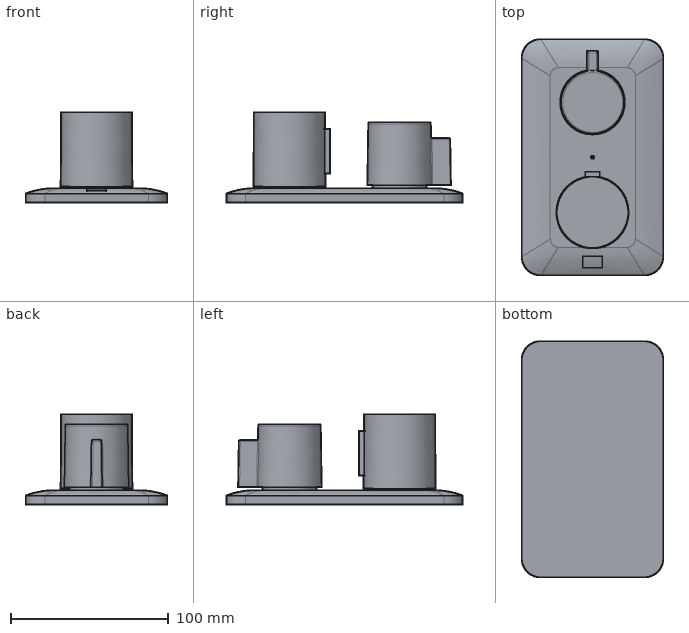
import cadquery as cq
import math

PLATE_WIDTH = 90.0
PLATE_LENGTH = 150.0
PLATE_CORNER_RADIUS = 12.0
RIM_HEIGHT = 5.7
PLATE_HEIGHT = 9.1
BORDER_WIDTH = 18.0
PANEL_CORNER_RADIUS = 5.2
DOME_SECTIONS = 7

DOT_RADIUS = 1.0
DOT_FLOOR_RADIUS = 0.6
DOT_DEPTH = 0.1

BADGE_WIDTH = 12.1
BADGE_LENGTH = 7.2
BADGE_CENTER_Y = -66.5
BADGE_FLOOR_Z = 4.5

KNOB_OFFSET = 35.0
NECK_RADIUS = 17.2

TALL_KNOB_BOTTOM_Z = 10.0
TALL_KNOB_TOP_Z = 57.5
TALL_KNOB_BOTTOM_RADIUS = 23.0
TALL_KNOB_TOP_RADIUS = 22.6

SHORT_KNOB_BOTTOM_Z = 11.1
SHORT_KNOB_TOP_Z = 51.0
SHORT_KNOB_BOTTOM_RADIUS = 20.5
SHORT_KNOB_TOP_RADIUS = 20.0
SHORT_KNOB_EDGE_FILLET = 0.9

LEVER_WIDTH = 7.2
LEVER_TIP_Y = 67.6
LEVER_TOP_Z = 41.0
LEVER_TAPER_ANGLE = 0.9
LEVER_EDGE_FILLET = 0.9
LEVER_ROOT_FILLET = 0.7
ROOT_ZONE_MARGIN = 1.5

BUTTON_WIDTH = 9.1
BUTTON_OUTER_Y = -9.1
BUTTON_DEPTH = 9.0
BUTTON_BOTTOM_Z = 18.3
BUTTON_TOP_Z = 46.8


def rounded_rectangle(width, length, corner_radius, z):
    """Closed wire of a rounded rectangle centred on the Z axis."""
    rectangle = cq.Workplane().rect(width, length).val()
    return rectangle.fillet2D(corner_radius, rectangle.Vertices()).translate(cq.Vector(0, 0, z))


def make_dome():
    """Border whose section is an arc that meets the flat panel tangentially."""
    rise = PLATE_HEIGHT - RIM_HEIGHT
    arc_radius = (BORDER_WIDTH**2 + rise**2) / (2 * rise)
    arc_angle = math.asin(BORDER_WIDTH / arc_radius)
    sections = []
    for step in range(DOME_SECTIONS):
        angle = arc_angle * (1 - step / (DOME_SECTIONS - 1))
        inset = BORDER_WIDTH - arc_radius * math.sin(angle)
        z = PLATE_HEIGHT - arc_radius * (1 - math.cos(angle))
        corner_change = (PANEL_CORNER_RADIUS - PLATE_CORNER_RADIUS) * inset / BORDER_WIDTH
        sections.append(
            rounded_rectangle(
                PLATE_WIDTH - 2 * inset,
                PLATE_LENGTH - 2 * inset,
                PLATE_CORNER_RADIUS + corner_change,
                z,
            )
        )
    return cq.Workplane(cq.Solid.makeLoft(sections))


def make_plate_blank():
    rim = (
        cq.Workplane()
        .rect(PLATE_WIDTH, PLATE_LENGTH)
        .extrude(RIM_HEIGHT)
        .edges("|Z")
        .fillet(PLATE_CORNER_RADIUS)
    )
    return rim.union(make_dome())


def make_badge(plate_blank):
    """Inlay whose upper face follows the dome."""
    block = (
        cq.Workplane()
        .workplane(offset=BADGE_FLOOR_Z)
        .center(0, BADGE_CENTER_Y)
        .rect(BADGE_WIDTH, BADGE_LENGTH)
        .extrude(PLATE_HEIGHT - BADGE_FLOOR_Z)
    )
    return plate_blank.intersect(block)


def make_plate(plate_blank, badge):
    dot_floor = cq.Vector(0, 0, PLATE_HEIGHT - DOT_DEPTH)
    dot = cq.Solid.makeCone(DOT_FLOOR_RADIUS, DOT_RADIUS, DOT_DEPTH, dot_floor)
    return plate_blank.cut(badge).cut(cq.Workplane(dot))


def make_knob(center_y, bottom_z, top_z, bottom_radius, top_radius):
    """Tapered knob and its neck, turned about a vertical axis at center_y."""
    return (
        cq.Workplane("YZ")
        .moveTo(0, PLATE_HEIGHT)
        .lineTo(-NECK_RADIUS, PLATE_HEIGHT)
        .lineTo(-NECK_RADIUS, bottom_z)
        .lineTo(-bottom_radius, bottom_z)
        .lineTo(-top_radius, top_z)
        .lineTo(0, top_z)
        .close()
        .revolve(360, (0, 0), (0, 1))
        .translate((0, center_y, 0))
    )


def make_lever():
    """Tapered fin from the axis of the short knob out to the lever tip."""
    reach = LEVER_TIP_Y - KNOB_OFFSET
    return (
        cq.Workplane()
        .workplane(offset=SHORT_KNOB_BOTTOM_Z)
        .center(0, KNOB_OFFSET + reach / 2)
        .rect(LEVER_WIDTH, reach)
        .extrude(LEVER_TOP_Z - SHORT_KNOB_BOTTOM_Z, taper=LEVER_TAPER_ANGLE)
        .edges("not(<Z or <Y)")
        .fillet(LEVER_EDGE_FILLET)
    )


def make_short_knob():
    knob = make_knob(
        KNOB_OFFSET,
        SHORT_KNOB_BOTTOM_Z,
        SHORT_KNOB_TOP_Z,
        SHORT_KNOB_BOTTOM_RADIUS,
        SHORT_KNOB_TOP_RADIUS,
    )
    knob = knob.faces(">Z").edges().fillet(SHORT_KNOB_EDGE_FILLET).union(make_lever())
    wall_y = KNOB_OFFSET + SHORT_KNOB_TOP_RADIUS
    root_zone = cq.selectors.BoxSelector(
        (-LEVER_WIDTH, wall_y - ROOT_ZONE_MARGIN, SHORT_KNOB_BOTTOM_Z + ROOT_ZONE_MARGIN),
        (LEVER_WIDTH, wall_y + ROOT_ZONE_MARGIN, LEVER_TOP_Z + ROOT_ZONE_MARGIN),
    )
    return knob.edges(root_zone).fillet(LEVER_ROOT_FILLET)


def make_button():
    return (
        cq.Workplane()
        .workplane(offset=BUTTON_BOTTOM_Z)
        .center(0, BUTTON_OUTER_Y - BUTTON_DEPTH / 2)
        .rect(BUTTON_WIDTH, BUTTON_DEPTH)
        .extrude(BUTTON_TOP_Z - BUTTON_BOTTOM_Z)
    )


def make_tall_knob(button):
    """Knob with a recess that the button fills."""
    knob = make_knob(
        -KNOB_OFFSET,
        TALL_KNOB_BOTTOM_Z,
        TALL_KNOB_TOP_Z,
        TALL_KNOB_BOTTOM_RADIUS,
        TALL_KNOB_TOP_RADIUS,
    )
    return knob.cut(button)


plate_blank = make_plate_blank()
badge = make_badge(plate_blank)
plate = make_plate(plate_blank, badge)
short_knob = make_short_knob()
button = make_button()
tall_knob = make_tall_knob(button)

result = cq.Compound.makeCompound(
    [plate.val(), badge.val(), short_knob.val(), tall_knob.val(), button.val()]
)